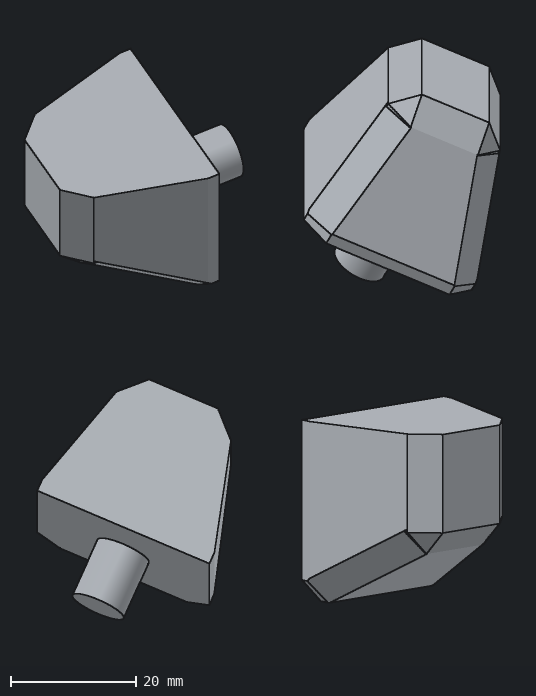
import cadquery as cq

back_size = 30.0
nose_size = 20.0
plate_depth = 2.0
taper_depth = 18.0
nose_depth = 4.0
chamfer = 4.0
stud_diameter = 9.0
stud_length = 10.0

half_back = back_size / 2
half_nose = nose_size / 2
top_z = back_size / 2
bottom_z = -back_size / 2
nose_bottom_z = top_z - nose_size
body_depth = plate_depth + taper_depth
taper_end_y = -body_depth
side_slope = (half_back - half_nose) / taper_depth
underside_slope = (nose_bottom_z - bottom_z) / taper_depth
front_y = taper_end_y - nose_depth


def make_plate_envelope():
    """Square prism of the back plate's section, with its two lower side edges chamfered."""
    envelope = cq.Workplane("XZ").rect(back_size, back_size).extrude(body_depth)
    return envelope.faces("<Z").edges("|Y").chamfer(chamfer)


def make_taper():
    """Wedge with the sloping sides and underside carried back to Y = 0, lower side edges chamfered."""
    end_half_width = half_nose + side_slope * body_depth
    end_bottom_z = nose_bottom_z - underside_slope * body_depth
    plan = (
        cq.Workplane("XY", origin=(0, 0, end_bottom_z))
        .polyline([
            (-end_half_width, 0),
            (-half_nose, taper_end_y),
            (half_nose, taper_end_y),
            (end_half_width, 0),
        ])
        .close()
        .extrude(top_z - end_bottom_z)
    )
    side_profile = (
        cq.Workplane("YZ")
        .polyline([
            (0, top_z),
            (0, end_bottom_z),
            (taper_end_y, nose_bottom_z),
            (taper_end_y, top_z),
        ])
        .close()
        .extrude(end_half_width, both=True)
    )
    wedge = plan.intersect(side_profile)
    underside = wedge.faces(cq.NearestToPointSelector((0, taper_end_y / 2, end_bottom_z)))
    return underside.edges("<X or >X").chamfer(chamfer)


def make_nose():
    """Square nose running back through the tapered body, chamfered except at its top and back."""
    nose = cq.Workplane("XY").box(nose_size, -front_y, nose_size, centered=(True, False, False))
    nose = nose.translate((0, front_y, nose_bottom_z))
    front_edges = nose.faces("<Y").edges("not >Z")
    bottom_side_edges = nose.faces("<Z").edges("|Y")
    return front_edges.add(bottom_side_edges).chamfer(chamfer)


def make_stud():
    """Round stud standing out of the middle of the back face."""
    return cq.Workplane("XZ").circle(stud_diameter / 2).extrude(-stud_length)


tapered_body = make_plate_envelope().intersect(make_taper())
result = tapered_body.union(make_nose()).union(make_stud()).clean()